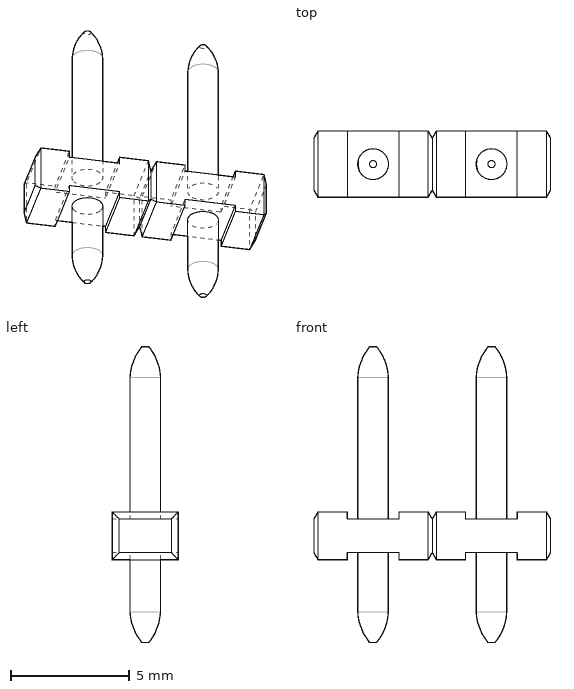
import cadquery as cq

pin_count = 2
pitch = 5.0

pin_length = 12.5
pin_radius = 1.3 / 2
tip_length = 1.3
tip_flat_radius = 0.15
tip_mid_radius = 0.52

block_depth = 2.8
block_height = 2.02
block_bottom = 3.5
end_bevel_length = 0.18
end_bevel_inset = 0.3
channel_width = 2.18
channel_depth = 0.3


def make_pin(x):
    """Round pin with a bulging, flat-ended tip at each end."""
    lower_shoulder = tip_length
    upper_shoulder = pin_length - tip_length
    profile = (
        cq.Workplane("XZ")
        .lineTo(tip_flat_radius, 0)
        .threePointArc((tip_mid_radius, tip_length / 2), (pin_radius, lower_shoulder))
        .lineTo(pin_radius, upper_shoulder)
        .threePointArc((tip_mid_radius, pin_length - tip_length / 2), (tip_flat_radius, pin_length))
        .lineTo(0, pin_length)
        .close()
    )
    return profile.revolve(360, (0, 0, 0), (0, 1, 0)).translate((x, 0, 0))


def make_bevelled_end(center_z, x_face, direction):
    """Frustum from the small end face at x_face to the full block section."""
    return (
        cq.Workplane("YZ", origin=(x_face, 0, center_z))
        .rect(block_depth - 2 * end_bevel_inset, block_height - 2 * end_bevel_inset)
        .workplane(offset=direction * end_bevel_length)
        .rect(block_depth, block_height)
        .loft(ruled=True)
    )


def make_block(x):
    """Block with bevelled ends and a channel across its top and bottom."""
    center_z = block_bottom + block_height / 2
    block = cq.Workplane("XY").box(pitch - 2 * end_bevel_length, block_depth, block_height)
    block = block.translate((x, 0, center_z))
    block = block.union(make_bevelled_end(center_z, x - pitch / 2, 1))
    block = block.union(make_bevelled_end(center_z, x + pitch / 2, -1))
    for side in (-1, 1):
        channel = cq.Workplane("XY").box(channel_width, block_depth, 2 * channel_depth)
        block = block.cut(channel.translate((x, 0, center_z + side * block_height / 2)))
    return block


result = cq.Workplane("XY")
for index in range(pin_count):
    pin_x = (index - (pin_count - 1) / 2) * pitch
    result = result.union(make_block(pin_x)).union(make_pin(pin_x))